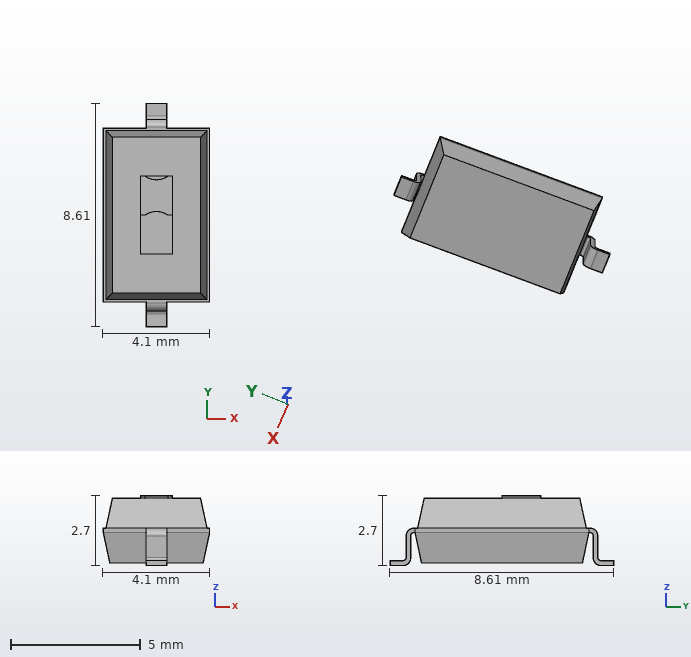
import cadquery as cq

housing_bottom_z = 0.1
flange_bottom_z = 1.27
flange_thickness = 0.18
housing_top_z = 2.6
flange_width = 4.1
flange_length = 6.7
upper_base_width = 3.9
upper_base_length = 6.5
top_width = 3.4
top_length = 6.0
bottom_width = 3.6
bottom_length = 6.2

slot_width = 1.22
slot_length = 3.0
slot_depth = 0.5
slider_length = slot_length / 2
slider_rise = 0.1
scoop_width = 0.88
scoop_depth = 0.14

lead_span = 8.61
lead_width = 0.8
lead_thickness = 0.18
foot_thickness = 0.2
bend_inner_radius = 0.12
bend_outer_radius = bend_inner_radius + lead_thickness
lead_outer_y = 3.69
lead_embed = 0.2

flange_top_z = flange_bottom_z + flange_thickness
slot_floor_z = housing_top_z - slot_depth


def frustum(start_z, start_size, end_z, end_size):
    """Rectangular block whose section changes evenly from one height to another."""
    return (
        cq.Workplane("XY", origin=(0, 0, start_z))
        .rect(*start_size)
        .workplane(offset=end_z - start_z)
        .rect(*end_size)
        .loft(ruled=True)
    )


def block(width, length, bottom_z, top_z):
    """Upright box centred on X = 0 between two heights."""
    return (
        cq.Workplane("XY", origin=(0, 0, bottom_z))
        .rect(width, length)
        .extrude(top_z - bottom_z)
    )


def make_housing():
    lower = frustum(
        housing_bottom_z, (bottom_width, bottom_length), flange_bottom_z, (flange_width, flange_length)
    )
    flange = block(flange_width, flange_length, flange_bottom_z, flange_top_z)
    upper = frustum(
        flange_top_z, (upper_base_width, upper_base_length), housing_top_z, (top_width, top_length)
    )
    slot = block(slot_width, slot_length, slot_floor_z, housing_top_z)
    return lower.union(flange).union(upper).cut(slot)


def make_slider():
    """Slider filling half the slot, with a shallow arc scooped out of each end."""
    half_width = slot_width / 2
    half_scoop = scoop_width / 2
    back_y = slot_length / 2
    front_y = back_y - slider_length
    return (
        cq.Workplane("XY", origin=(0, 0, slot_floor_z))
        .moveTo(-half_width, front_y)
        .lineTo(-half_scoop, front_y)
        .threePointArc((0, front_y + scoop_depth), (half_scoop, front_y))
        .lineTo(half_width, front_y)
        .lineTo(half_width, back_y)
        .lineTo(half_scoop, back_y)
        .threePointArc((0, back_y - scoop_depth), (-half_scoop, back_y))
        .lineTo(-half_width, back_y)
        .close()
        .extrude(slot_depth + slider_rise)
    )


def make_lead():
    """Lead at the +Y end: out of the flange, down, and outward into a foot."""
    root_y = flange_length / 2 - lead_embed
    inner_y = lead_outer_y - lead_thickness
    tip_y = lead_span / 2
    return (
        cq.Workplane("YZ", origin=(-lead_width / 2, 0, 0))
        .moveTo(root_y, flange_top_z)
        .lineTo(lead_outer_y - bend_outer_radius, flange_top_z)
        .radiusArc((lead_outer_y, flange_top_z - bend_outer_radius), bend_outer_radius)
        .lineTo(lead_outer_y, foot_thickness + bend_inner_radius)
        .radiusArc((lead_outer_y + bend_inner_radius, foot_thickness), -bend_inner_radius)
        .lineTo(tip_y, foot_thickness)
        .lineTo(tip_y, 0)
        .lineTo(inner_y + bend_outer_radius, 0)
        .radiusArc((inner_y, bend_outer_radius), bend_outer_radius)
        .lineTo(inner_y, flange_bottom_z - bend_inner_radius)
        .radiusArc((inner_y - bend_inner_radius, flange_bottom_z), -bend_inner_radius)
        .lineTo(root_y, flange_bottom_z)
        .close()
        .extrude(lead_width)
    )


lead = make_lead()
result = make_housing().union(make_slider()).union(lead).union(lead.mirror("XZ"))